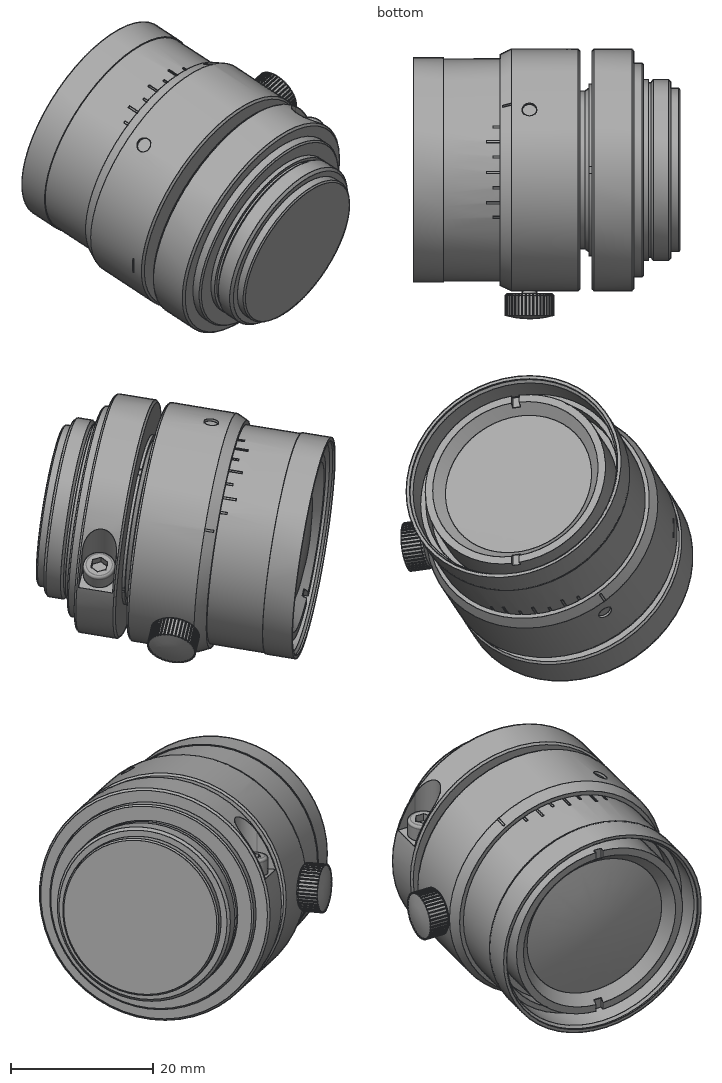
import cadquery as cq
import math


TOTAL_LENGTH = 37.5
RIM_RADIUS = 15.8
RIM_END = 4.2
SCALE_RADIUS = 15.65
COLLAR_START = 12.18
COLLAR_START_RADIUS = 16.25
COLLAR_CONE_END = 13.77
COLLAR_END = 23.45
BODY_RADIUS = 17.0
BODY_CHAMFER = 0.3
NECK_RADIUS = 11.1
NECK_CONE_START = 24.13
NECK_CONE_END = 24.65
NECK_CONE_RADIUS = 11.5
NOTCHED_RING_RADIUS = 12.1
CLAMP_START = 25.08
CLAMP_END = 31.0
FLANGE_RADIUS = 15.02
FLANGE_END = 32.35
FLANGE_CHAMFER = 0.23
THREAD_RADIUS = 12.75
LAND_END = 33.05
RELIEF_RADIUS = 12.3
RELIEF_END = 33.4
THREAD_START = 33.73
THREAD_END = 36.2
THREAD_CHAMFER = 0.38
TAIL_RADIUS = 11.5
TAIL_CHAMFER = 0.23

MOUTH_RADIUS = 15.3
MOUTH_DEPTH = 0.25
BORE_RADIUS = 14.95
BORE_CONE_DEPTH = 0.65
SHELF_DEPTH = 4.3
GAP_RADIUS = 14.2
GAP_DEPTH = 6.83
RETAINER_RADIUS = 13.25
RETAINER_DEPTH = 0.87
RETAINER_INNER_RADIUS = 12.15
GLASS_RADIUS = 10.75
GLASS_EDGE_DEPTH = 2.4
GLASS_BULGE = 1.48
SPANNER_SLOT_WIDTH = 1.15
SPANNER_SLOT_INNER_RADIUS = 11.65
SPANNER_SLOT_DEPTH = 0.65

SCREW_X = 16.3
SCREW_COUNT = 3
SCREW_DIAMETER = 2.05
SCREW_HOLE_DEPTH = 0.38
KNOB_RADIUS = 3.45
KNOB_BOTTOM = 17.38
KNOB_SHOULDER = 20.5
KNOB_TOP = 20.95
KNOB_CHAMFER = 0.3
KNURL_COUNT = 40
KNURL_WIDTH = 0.15
KNURL_DEPTH = 0.15

CLAMP_SCREW_Y = 13.45
CLAMP_POCKET_WIDTH = 4.85
CLAMP_POCKET_FLOOR = 5.1
CLAMP_HEAD_DIAMETER = 4.5
CLAMP_HEAD_HEIGHT = 2.45
CLAMP_HEAD_FILLET = 0.4
HEX_CORNER_DIAMETER = 2.5
HEX_DEPTH = 1.15
HEX_TURN = 30

MARK_DEPTH = 0.08
MARK_WIDTH = 0.3
TICK_COUNT = 7
TICK_PITCH = 8.0
TICK_CENTRE_ANGLE = 91.3
SHORT_TICK = 1.0
LONG_TICK = 1.9
INDEX_ANGLE = 57.0
INDEX_LENGTH = 1.35
SLIT_X = 21.6
SLIT_LENGTH = 2.92
SLIT_WIDTH = 0.15
SLIT_DEPTH = 0.15

NOTCH_COUNT = 4
NOTCH_WIDTH = 1.0
NOTCH_DEPTH = 0.23


def about_axis(shape, angle):
    """Turn a shape that points along +Y about the lens axis."""
    return shape.rotate((0, 0, 0), (1, 0, 0), angle)


def radial_box(start, length, width, bottom, top):
    """Box on the +Y side, from X = start, between two radii."""
    return cq.Workplane("XY").box(
        length, top - bottom, width, centered=(False, False, True)
    ).translate((start, bottom, 0))


def radial_cylinder(x, diameter, bottom, top):
    """Cylinder along +Y at the given X, between two radii."""
    return (
        cq.Workplane("XZ", origin=(x, bottom, 0))
        .circle(diameter / 2)
        .extrude(bottom - top)
    )


def make_barrel():
    """Revolved lens body with the front recess and convex glass."""
    glass_apex = GLASS_EDGE_DEPTH - GLASS_BULGE
    sphere_radius = (GLASS_RADIUS**2 + GLASS_BULGE**2) / (2 * GLASS_BULGE)
    half_radius = GLASS_RADIUS / 2
    half_depth = glass_apex + sphere_radius - math.sqrt(sphere_radius**2 - half_radius**2)
    profile = (
        cq.Workplane("XY")
        .moveTo(glass_apex, 0)
        .threePointArc((half_depth, half_radius), (GLASS_EDGE_DEPTH, GLASS_RADIUS))
        .lineTo(RETAINER_DEPTH, RETAINER_INNER_RADIUS)
        .lineTo(RETAINER_DEPTH, RETAINER_RADIUS)
        .lineTo(GAP_DEPTH, RETAINER_RADIUS)
        .lineTo(GAP_DEPTH, GAP_RADIUS)
        .lineTo(SHELF_DEPTH, GAP_RADIUS)
        .lineTo(SHELF_DEPTH, BORE_RADIUS)
        .lineTo(BORE_CONE_DEPTH, BORE_RADIUS)
        .lineTo(MOUTH_DEPTH, MOUTH_RADIUS)
        .lineTo(0, MOUTH_RADIUS)
        .lineTo(0, RIM_RADIUS)
        .lineTo(RIM_END, RIM_RADIUS)
        .lineTo(RIM_END, SCALE_RADIUS)
        .lineTo(COLLAR_START, SCALE_RADIUS)
        .lineTo(COLLAR_START, COLLAR_START_RADIUS)
        .lineTo(COLLAR_CONE_END, BODY_RADIUS)
        .lineTo(COLLAR_END - BODY_CHAMFER, BODY_RADIUS)
        .lineTo(COLLAR_END, BODY_RADIUS - BODY_CHAMFER)
        .lineTo(COLLAR_END, NECK_RADIUS)
        .lineTo(NECK_CONE_START, NECK_RADIUS)
        .lineTo(NECK_CONE_END, NECK_CONE_RADIUS)
        .lineTo(NECK_CONE_END, NOTCHED_RING_RADIUS)
        .lineTo(CLAMP_START, NOTCHED_RING_RADIUS)
        .lineTo(CLAMP_START, BODY_RADIUS - BODY_CHAMFER)
        .lineTo(CLAMP_START + BODY_CHAMFER, BODY_RADIUS)
        .lineTo(CLAMP_END - BODY_CHAMFER, BODY_RADIUS)
        .lineTo(CLAMP_END, BODY_RADIUS - BODY_CHAMFER)
        .lineTo(CLAMP_END, FLANGE_RADIUS)
        .lineTo(FLANGE_END - FLANGE_CHAMFER, FLANGE_RADIUS)
        .lineTo(FLANGE_END, FLANGE_RADIUS - FLANGE_CHAMFER)
        .lineTo(FLANGE_END, THREAD_RADIUS)
        .lineTo(LAND_END, THREAD_RADIUS)
        .lineTo(LAND_END, RELIEF_RADIUS)
        .lineTo(RELIEF_END, RELIEF_RADIUS)
        .lineTo(THREAD_START, THREAD_RADIUS)
        .lineTo(THREAD_END - THREAD_CHAMFER, THREAD_RADIUS)
        .lineTo(THREAD_END, THREAD_RADIUS - THREAD_CHAMFER)
        .lineTo(THREAD_END, TAIL_RADIUS)
        .lineTo(TOTAL_LENGTH - TAIL_CHAMFER, TAIL_RADIUS)
        .lineTo(TOTAL_LENGTH, TAIL_RADIUS - TAIL_CHAMFER)
        .lineTo(TOTAL_LENGTH, 0)
        .close()
    )
    return profile.revolve(360, (0, 0, 0), (1, 0, 0))


def cut_spanner_slots(body):
    """Two slots across the glass retainer, at the top and the bottom."""
    slot = radial_box(
        RETAINER_DEPTH, SPANNER_SLOT_DEPTH, SPANNER_SLOT_WIDTH,
        SPANNER_SLOT_INNER_RADIUS, RETAINER_RADIUS,
    )
    for angle in (90, 270):
        body = body.cut(about_axis(slot, angle))
    return body


def cut_ring_notches(body):
    """Small notches around the thin ring beside the clamp."""
    notch = radial_box(
        NECK_CONE_END, CLAMP_START - NECK_CONE_END, NOTCH_WIDTH,
        NOTCHED_RING_RADIUS - NOTCH_DEPTH, BODY_RADIUS,
    )
    for i in range(NOTCH_COUNT):
        body = body.cut(about_axis(notch, i * 360 / NOTCH_COUNT))
    return body


def cut_screw_holes(body):
    """Shallow screw holes at the collar positions that hold no thumbscrew."""
    hole = radial_cylinder(SCREW_X, SCREW_DIAMETER, BODY_RADIUS - SCREW_HOLE_DEPTH, KNOB_TOP)
    for i in range(1, SCREW_COUNT):
        body = body.cut(about_axis(hole, i * 360 / SCREW_COUNT))
    return body


def cut_scales(body):
    """Aperture scale and its index line, repeated on opposite sides, and the slit on the -Y side."""
    tick_bottom = SCALE_RADIUS - MARK_DEPTH
    cone_angle = math.degrees(
        math.atan2(BODY_RADIUS - COLLAR_START_RADIUS, COLLAR_CONE_END - COLLAR_START)
    )
    index = (
        radial_box(-INDEX_LENGTH, INDEX_LENGTH, MARK_WIDTH, -MARK_DEPTH, MARK_DEPTH)
        .rotate((0, 0, 0), (0, 0, 1), cone_angle)
        .translate((COLLAR_CONE_END, BODY_RADIUS, 0))
    )
    for side in (0, 180):
        for i in range(TICK_COUNT):
            length = LONG_TICK if i % 2 else SHORT_TICK
            tick = radial_box(COLLAR_START - length, length, MARK_WIDTH, tick_bottom, RIM_RADIUS)
            angle = TICK_CENTRE_ANGLE + (i - (TICK_COUNT - 1) / 2) * TICK_PITCH
            body = body.cut(about_axis(tick, side + angle))
        body = body.cut(about_axis(index, side + INDEX_ANGLE))
    slit = radial_box(
        SLIT_X - SLIT_WIDTH / 2, SLIT_WIDTH, SLIT_LENGTH, BODY_RADIUS - SLIT_DEPTH, KNOB_TOP
    )
    return body.cut(about_axis(slit, 180))


def make_thumbscrew():
    """Knurled knob with a domed top on a plain stem, pointing along +Y."""
    shank = radial_cylinder(SCREW_X, SCREW_DIAMETER, BODY_RADIUS - SCREW_HOLE_DEPTH, KNOB_SHOULDER)
    dome_height = KNOB_TOP - KNOB_SHOULDER
    dome_base = KNOB_RADIUS - KNURL_DEPTH
    dome_sphere = (dome_base**2 + dome_height**2) / (2 * dome_height)
    half_base = dome_base / 2
    half_y = KNOB_TOP - dome_sphere + math.sqrt(dome_sphere**2 - half_base**2)
    knob = (
        cq.Workplane("XY", origin=(SCREW_X, 0, 0))
        .moveTo(0, KNOB_BOTTOM)
        .lineTo(KNOB_RADIUS - KNOB_CHAMFER, KNOB_BOTTOM)
        .lineTo(KNOB_RADIUS, KNOB_BOTTOM + KNOB_CHAMFER)
        .lineTo(KNOB_RADIUS, KNOB_SHOULDER)
        .lineTo(dome_base, KNOB_SHOULDER)
        .threePointArc((half_base, half_y), (0, KNOB_TOP))
        .close()
        .revolve(360, (0, 0, 0), (0, 1, 0))
    )
    knurls = (
        cq.Workplane("XZ", origin=(SCREW_X, KNOB_BOTTOM, 0))
        .polarArray(KNOB_RADIUS, 0, 360, KNURL_COUNT)
        .rect(2 * KNURL_DEPTH, KNURL_WIDTH)
        .extrude(KNOB_BOTTOM - KNOB_SHOULDER)
    )
    return knob.cut(knurls).union(shank)


def add_clamp_screw(body):
    """Open pocket with a round inner end, holding a hex socket screw."""
    clamp_x = (CLAMP_START + CLAMP_END) / 2
    floor = cq.Workplane("XY", origin=(clamp_x, CLAMP_SCREW_Y, CLAMP_POCKET_FLOOR))
    depth = BODY_RADIUS - CLAMP_POCKET_FLOOR
    pocket = floor.circle(CLAMP_POCKET_WIDTH / 2).extrude(depth)
    opening = floor.rect(CLAMP_POCKET_WIDTH, 2 * (BODY_RADIUS - CLAMP_SCREW_Y)).extrude(depth)
    upper_half = cq.Workplane("XY").box(
        CLAMP_POCKET_WIDTH, BODY_RADIUS, BODY_RADIUS, centered=(True, False, False)
    ).translate((clamp_x, CLAMP_SCREW_Y, CLAMP_POCKET_FLOOR))
    pocket = pocket.union(opening.intersect(upper_half))
    head = (
        floor.circle(CLAMP_HEAD_DIAMETER / 2)
        .extrude(CLAMP_HEAD_HEIGHT)
        .faces(">Z")
        .edges()
        .fillet(CLAMP_HEAD_FILLET)
    )
    socket = (
        floor.workplane(offset=CLAMP_HEAD_HEIGHT - HEX_DEPTH)
        .polygon(6, HEX_CORNER_DIAMETER)
        .extrude(HEX_DEPTH)
        .rotate((clamp_x, CLAMP_SCREW_Y, 0), (clamp_x, CLAMP_SCREW_Y, 1), HEX_TURN)
    )
    return body.cut(pocket).union(head.cut(socket))


result = make_barrel()
result = cut_spanner_slots(result)
result = cut_ring_notches(result)
result = cut_screw_holes(result)
result = cut_scales(result)
result = add_clamp_screw(result)
result = result.union(make_thumbscrew())